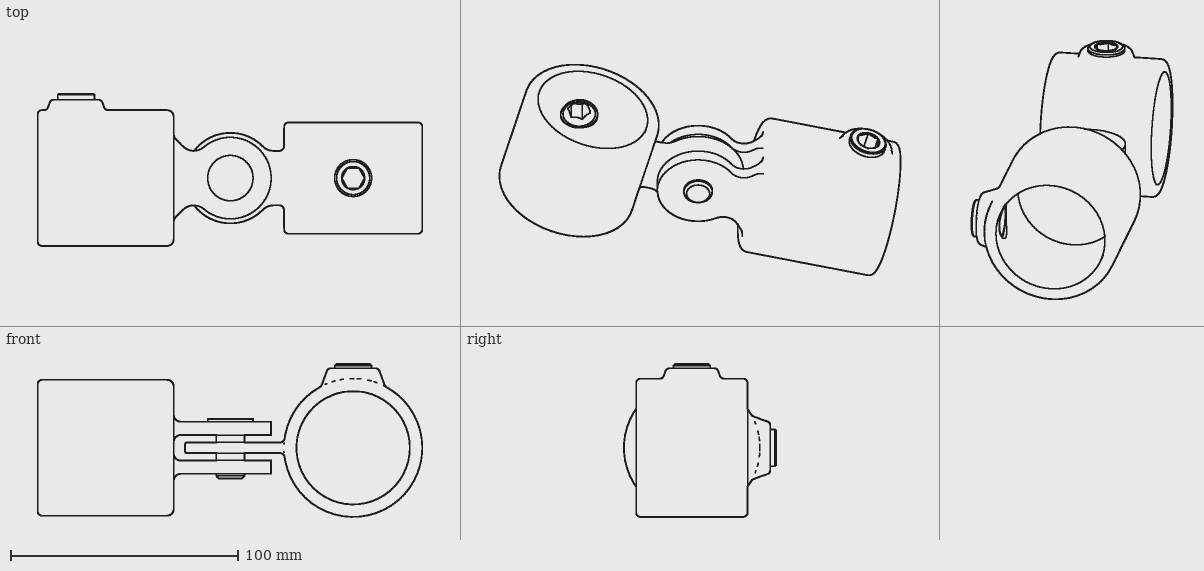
import cadquery as cq
import math


SOCKET_RADIUS = 30.0
SOCKET_BORE_RADIUS = 24.4
SOCKET_LENGTH = 60.0
SOCKET_FLOOR = SOCKET_RADIUS - SOCKET_BORE_RADIUS
SOCKET_RIM_FILLET = 2.0
SOCKET_END_FILLET = 3.0
SOCKET_MOUTH_X = -85.0
SOCKET_END_X = SOCKET_MOUTH_X + SOCKET_LENGTH

RING_RADIUS = 30.5
RING_BORE_RADIUS = 25.0
RING_WIDTH = 49.2
RING_RIM_FILLET = 2.0
RING_X = 54.0

EAR_RADIUS = 18.0
EAR_INNER_Z = 5.6
EAR_OUTER_Z = 11.5
EAR_ROOT_FILLET = 3.0

TONGUE_RADIUS = 20.0
TONGUE_THICKNESS = 4.7
TONGUE_EDGE_FILLET = 0.8
TONGUE_ROOT_FILLET = 2.0

NECK_HALF_WIDTH = 12.0
NECK_FILLET = 6.8

PIN_RADIUS = 6.3
PIN_HEAD_RADIUS = 10.0
PIN_HEAD_HEIGHT = 1.2
PIN_TIP_Z = -13.5
PIN_TIP_CHAMFER = 1.2

BOSS_HEIGHT = 4.5
BOSS_TOP_RADIUS = 11.2
BOSS_DRAFT = 20.0
BOSS_TOP_FILLET = 2.0
BOSS_BASE_FILLET = 1.7
SOCKET_BOSS_X = -68.0

SCREW_RADIUS = 8.1
SCREW_TIP = 24.5
RING_SCREW_TOP = 37.0
RING_SCREW_CHAMFER = 0.8
SOCKET_SCREW_TOP = 37.1
SOCKET_SCREW_CHAMFER = 0.5
HEX_ACROSS_FLATS = 8.8
HEX_ACROSS_CORNERS = HEX_ACROSS_FLATS / math.cos(math.radians(30))
HEX_LEAD_IN = 0.5
CUP_RADIUS = 7.1
CUP_ANGLE = 45.0
SOCKET_HEX_TURN = 30.0
RING_HEX_TURN = 0.0

PICK_MARGIN = 0.2


def neck_arc(disc_radius):
    """X and Y distances from the hinge axis to the centre of the arc between a disc and its neck."""
    centre_y = NECK_HALF_WIDTH + NECK_FILLET
    centre_x = math.sqrt((disc_radius + NECK_FILLET) ** 2 - centre_y**2)
    return centre_x, centre_y


def arc_point(centre, degrees):
    """Point of the neck arc at an angle measured from +X."""
    angle = math.radians(degrees)
    return (
        centre[0] + NECK_FILLET * math.cos(angle),
        centre[1] + NECK_FILLET * math.sin(angle),
    )


def mirrored(point):
    """The same point on the other side of the X axis."""
    return (point[0], -point[1])


def boss(tube_radius, base):
    """Drafted boss along +Z from the given height, with a rounded top edge."""
    height = tube_radius + BOSS_HEIGHT - base
    base_radius = BOSS_TOP_RADIUS + height * math.tan(math.radians(BOSS_DRAFT))
    cone = cq.Solid.makeCone(base_radius, BOSS_TOP_RADIUS, height, cq.Vector(0, 0, base))
    return cq.Workplane(cone).faces(">Z").edges().fillet(BOSS_TOP_FILLET)


def boss_base_zone(tube_radius):
    """Block around the centre of the curve where a boss along +Z meets a tube of the given radius."""
    return (
        cq.Workplane("XY", origin=(0, 0, tube_radius - BOSS_HEIGHT / 2))
        .box(2 * BOSS_TOP_RADIUS, 2 * BOSS_TOP_RADIUS, BOSS_HEIGHT)
    )


def within(zone):
    """Selector for the shapes whose centre lies in the bounding box of a block."""
    box = zone.val().BoundingBox()
    return cq.selectors.BoxSelector((box.xmin, box.ymin, box.zmin), (box.xmax, box.ymax, box.zmax))


def screw_hole(tube_radius):
    """Hole for a set screw, from the tube axis up through the boss."""
    return cq.Workplane("XY").circle(SCREW_RADIUS).extrude(tube_radius + BOSS_HEIGHT)


def onto_socket(shape):
    """Move a shape built along +Z to the boss on the socket's +Y side."""
    return shape.rotate((0, 0, 0), (1, 0, 0), -90).translate((SOCKET_BOSS_X, 0, 0))


def onto_ring(shape):
    """Move a shape built along +Z to the boss on top of the ring."""
    return shape.translate((RING_X, 0, 0))


def pin_hole():
    """Hinge pin hole through both ears and the tongue."""
    return cq.Workplane("XY").circle(PIN_RADIUS).extrude(EAR_OUTER_Z, both=True)


def ear_plate():
    """Fork ear: a round end, waisted neck sides, and a 45 degree flare into the socket end."""
    offset_x, offset_y = neck_arc(EAR_RADIUS)
    centre = (-offset_x, offset_y)
    disc_tangent = arc_point(centre, math.degrees(math.atan2(-offset_y, offset_x)))
    waist = arc_point(centre, -90)
    flare_start = arc_point(centre, -135)
    flare_end = (SOCKET_END_X, flare_start[1] + flare_start[0] - SOCKET_END_X)
    root = (SOCKET_END_X - SOCKET_FLOOR / 2, flare_end[1])
    return (
        cq.Workplane("XY", origin=(0, 0, EAR_INNER_Z))
        .moveTo(*root)
        .lineTo(*flare_end)
        .lineTo(*flare_start)
        .threePointArc(waist, disc_tangent)
        .threePointArc((EAR_RADIUS, 0), mirrored(disc_tangent))
        .threePointArc(mirrored(waist), mirrored(flare_start))
        .lineTo(*mirrored(flare_end))
        .lineTo(*mirrored(root))
        .close()
        .extrude(EAR_OUTER_Z - EAR_INNER_Z)
    )


def tongue_plate():
    """Tongue: a round end and a straight neck that runs into the ring wall, edges rounded."""
    offset_x, offset_y = neck_arc(TONGUE_RADIUS)
    centre = (offset_x, offset_y)
    disc_direction = math.degrees(math.atan2(-offset_y, -offset_x))
    disc_tangent = arc_point(centre, disc_direction)
    middle = arc_point(centre, (disc_direction - 90) / 2)
    neck_start = arc_point(centre, -90)
    neck_end = (RING_X - (RING_RADIUS + RING_BORE_RADIUS) / 2, NECK_HALF_WIDTH)
    return (
        cq.Workplane("XY", origin=(0, 0, -TONGUE_THICKNESS / 2))
        .moveTo(*neck_end)
        .lineTo(*neck_start)
        .threePointArc(middle, disc_tangent)
        .threePointArc((-TONGUE_RADIUS, 0), mirrored(disc_tangent))
        .threePointArc(mirrored(middle), mirrored(neck_start))
        .lineTo(*mirrored(neck_end))
        .close()
        .extrude(TONGUE_THICKNESS)
        .faces("|Z")
        .edges("not(>X)")
        .fillet(TONGUE_EDGE_FILLET)
    )


def socket_body():
    """Blind tube socket with the two fork ears and a boss on its +Y side."""
    tube = (
        cq.Workplane("YZ", origin=(SOCKET_MOUTH_X, 0, 0))
        .circle(SOCKET_RADIUS)
        .extrude(SOCKET_LENGTH)
        .faces("<X").edges().fillet(SOCKET_RIM_FILLET)
        .faces(">X").edges().fillet(SOCKET_END_FILLET)
    )
    upper_ear = ear_plate()
    lower_ear = upper_ear.mirror("XY")
    ear_root = cq.selectors.BoxSelector(
        (SOCKET_END_X - PICK_MARGIN, -SOCKET_RADIUS, -SOCKET_RADIUS),
        (SOCKET_END_X + PICK_MARGIN, SOCKET_RADIUS, SOCKET_RADIUS),
    )
    body = tube.union(upper_ear).union(lower_ear)
    body = body.edges(ear_root).edges("%LINE").fillet(EAR_ROOT_FILLET)
    body = body.union(onto_socket(boss(SOCKET_RADIUS, SOCKET_BORE_RADIUS)))
    boss_base = onto_socket(boss_base_zone(SOCKET_RADIUS))
    body = body.edges("%BSPLINE").edges(within(boss_base)).fillet(BOSS_BASE_FILLET)
    bore = (
        cq.Workplane("YZ", origin=(SOCKET_MOUTH_X, 0, 0))
        .circle(SOCKET_BORE_RADIUS)
        .extrude(SOCKET_LENGTH - SOCKET_FLOOR)
    )
    return body.cut(bore).cut(onto_socket(screw_hole(SOCKET_RADIUS))).cut(pin_hole())


def ring_body():
    """Open tube ring with the tongue and a boss on top."""
    tube = (
        cq.Workplane("XZ", origin=(RING_X, RING_WIDTH / 2, 0))
        .circle(RING_RADIUS)
        .extrude(RING_WIDTH)
        .faces("|Y").edges().fillet(RING_RIM_FILLET)
    )
    body = tube.union(tongue_plate())
    root_x = RING_X - RING_RADIUS
    tongue_root = cq.selectors.BoxSelector(
        (root_x - PICK_MARGIN, -NECK_HALF_WIDTH - PICK_MARGIN, -TONGUE_THICKNESS),
        (root_x + PICK_MARGIN, NECK_HALF_WIDTH + PICK_MARGIN, TONGUE_THICKNESS),
    )
    body = body.edges(tongue_root).fillet(TONGUE_ROOT_FILLET)
    body = body.union(onto_ring(boss(RING_RADIUS, RING_BORE_RADIUS)))
    boss_base = onto_ring(boss_base_zone(RING_RADIUS))
    body = body.edges("%BSPLINE").edges(within(boss_base)).fillet(BOSS_BASE_FILLET)
    bore = (
        cq.Workplane("XZ", origin=(RING_X, RING_WIDTH / 2, 0))
        .circle(RING_BORE_RADIUS)
        .extrude(RING_WIDTH)
    )
    return body.cut(bore).cut(onto_ring(screw_hole(RING_RADIUS))).cut(pin_hole())


def hinge_pin():
    """Pin with a low round head on top of the upper ear and a chamfered tip below."""
    return (
        cq.Workplane("XY", origin=(0, 0, PIN_TIP_Z))
        .circle(PIN_RADIUS)
        .extrude(EAR_OUTER_Z - PIN_TIP_Z)
        .faces("<Z").chamfer(PIN_TIP_CHAMFER)
        .faces(">Z").workplane()
        .circle(PIN_HEAD_RADIUS)
        .extrude(PIN_HEAD_HEIGHT)
    )


def set_screw(top, chamfer, hex_turn):
    """Cup-point set screw along +Z with a hexagon socket right through it."""
    body = (
        cq.Workplane("XY", origin=(0, 0, SCREW_TIP))
        .circle(SCREW_RADIUS)
        .extrude(top - SCREW_TIP)
        .faces(">Z").chamfer(chamfer)
    )
    hexagon = (
        cq.Workplane("XY", origin=(0, 0, SCREW_TIP))
        .polygon(6, HEX_ACROSS_CORNERS)
        .extrude(top - SCREW_TIP)
        .rotate((0, 0, 0), (0, 0, 1), hex_turn)
    )
    lead_in_radius = HEX_ACROSS_CORNERS / 2
    lead_in = cq.Solid.makeCone(
        lead_in_radius - HEX_LEAD_IN, lead_in_radius, HEX_LEAD_IN, cq.Vector(0, 0, top - HEX_LEAD_IN)
    )
    cup_depth = CUP_RADIUS / math.tan(math.radians(CUP_ANGLE))
    cup = cq.Solid.makeCone(CUP_RADIUS, 0, cup_depth, cq.Vector(0, 0, SCREW_TIP))
    return body.cut(hexagon).cut(cq.Workplane(lead_in)).cut(cq.Workplane(cup))


socket = socket_body()
ring = ring_body()
pin = hinge_pin()
socket_screw = onto_socket(set_screw(SOCKET_SCREW_TOP, SOCKET_SCREW_CHAMFER, SOCKET_HEX_TURN))
ring_screw = onto_ring(set_screw(RING_SCREW_TOP, RING_SCREW_CHAMFER, RING_HEX_TURN))

result = cq.Compound.makeCompound(
    [body.solids().val() for body in (socket, ring, pin, socket_screw, ring_screw)]
)